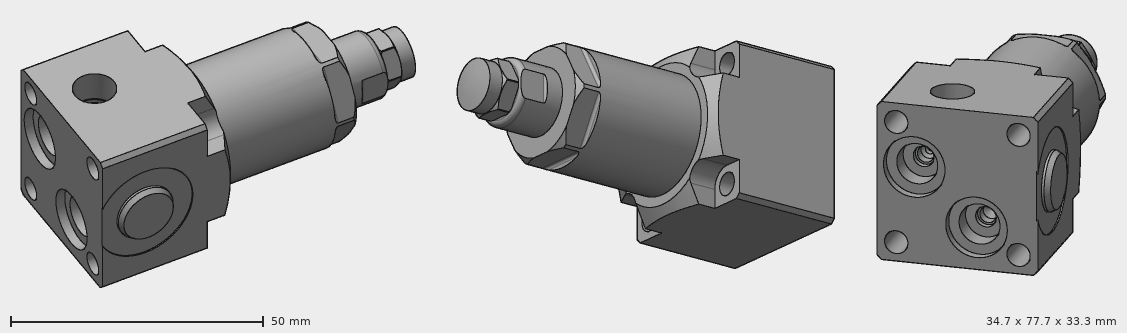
import cadquery as cq
import math


BLOCK_SIDE = 33.3
BLOCK_HALF = BLOCK_SIDE / 2
BLOCK_LENGTH = 30.05
BLOCK_EDGE_CHAMFER = 0.9
REAR_RIM_RADIUS = 14.7
REAR_BEVEL_ANGLE = 30

BOLT_OFFSET = 12.65
BOLT_HOLE_DIAMETER = 4.8
BOLT_SEAT_Y = 23.7
BOLT_HEAD_RADIUS = 4.0

PORT_A_CENTER = (-8.9, 3.6)
PORT_B_CENTER = (4.0, -7.8)
SEAL_DIAMETER = 12.7
SEAL_DEPTH = 2.0
PORT_DIAMETER = 8.5
PORT_DEPTH = 6.4
BORE_DIAMETER = 4.3
BORE_DEPTH = 7.8
DRILL_DIAMETER = 3.4
DRILL_DEPTH = 10.1
PILOT_DIAMETER = 1.9
PILOT_LENGTH = 1.55
DRILL_TIP_ANGLE = 118

SIDE_PORT_Y = 9.6
TOP_PORT_X = -4.0
TOP_PORT_DIAMETER = 8.8
TOP_PORT_DEPTH = 6.6
TOP_DRILL_DIAMETER = 8.15
TOP_DRILL_DEPTH = 7.4
PLUG_SEAT_RADIUS = 10.8
PLUG_SEAT_DEPTH = 0.3
PLUG_RADIUS = 6.2
PLUG_TIP_RADIUS = 5.6
PLUG_RIM_HEIGHT = 0.2
PLUG_HEIGHT = 1.4

HEX_SIDES = 6
HEX_STEP = 360 / HEX_SIDES

BARREL_RADIUS = 12.6
HEX_START_Y = 55.0
HEX_END_Y = 60.4
HEX_ACROSS_FLATS = 22.2
HEX_ROOT_FILLET = 0.6
HEX_FACE_RADIUS = 11.35
HEX_CHAMFER_LENGTH = 1.25

BOSS_RADIUS = 7.15
BOSS_END_Y = 70.4
BOSS_FILLET = 1.25
BOSS_FLATS_WIDTH = 12.9
BOSS_FLATS_START_Y = 64.15
BOSS_FLAT_ROOT_FILLET = 0.5

NUT_ACROSS_FLATS = 10.9
NUT_CORNER_RADIUS = 6.2
NUT_END_Y = 74.0
NUT_FACE_RADIUS = 5.35
NUT_TOP_CHAMFER_LENGTH = 0.55
NUT_BOTTOM_CHAMFER = 0.3
CAP_RADIUS = 5.35
CAP_EDGE_Y = 77.1
TOTAL_LENGTH = 77.7


def revolved(outline):
    """Revolve a closed (radius, y) outline around the Y axis."""
    return outline.close().revolve(360, (0, 0, 0), (0, 1, 0))


def solid_of_revolution(points):
    return revolved(cq.Workplane("XY").polyline(points))


def cylinder_y(radius, start_y, end_y):
    return solid_of_revolution([(0, start_y), (radius, start_y), (radius, end_y), (0, end_y)])


def drill_tip_length(diameter):
    return diameter / 2 / math.tan(math.radians(DRILL_TIP_ANGLE / 2))


def flat_cutter(apothem, start_y, end_y, root_fillet, angle):
    """Tool that mills one flat, facing +X before it is turned about Y; its root is rounded."""
    reach = 2 * apothem
    root_center = (apothem + root_fillet, start_y + root_fillet)
    arc_offset = root_fillet * math.sqrt(0.5)
    return (
        cq.Workplane("XY")
        .moveTo(reach, start_y)
        .lineTo(root_center[0], start_y)
        .threePointArc(
            (root_center[0] - arc_offset, root_center[1] - arc_offset),
            (apothem, root_center[1]),
        )
        .lineTo(apothem, end_y)
        .lineTo(reach, end_y)
        .close()
        .extrude(reach, both=True)
        .rotate((0, 0, 0), (0, 1, 0), angle)
    )


def make_block():
    block = (
        cq.Workplane("XY")
        .box(BLOCK_SIDE, BLOCK_LENGTH, BLOCK_SIDE)
        .translate((0, BLOCK_LENGTH / 2, 0))
        .edges("|Y")
        .chamfer(BLOCK_EDGE_CHAMFER)
    )
    outer_radius = BLOCK_SIDE
    bevel_length = (outer_radius - REAR_RIM_RADIUS) * math.tan(math.radians(REAR_BEVEL_ANGLE))
    envelope = solid_of_revolution([
        (0, 0),
        (outer_radius, 0),
        (outer_radius, BLOCK_LENGTH - bevel_length),
        (REAR_RIM_RADIUS, BLOCK_LENGTH),
        (0, BLOCK_LENGTH),
    ])
    return block.intersect(envelope)


def cut_bolts(body):
    relief_inner = BOLT_OFFSET - BOLT_HEAD_RADIUS
    relief_side = BLOCK_HALF - relief_inner
    relief_center = relief_inner + relief_side / 2
    relief_length = BLOCK_LENGTH - BOLT_SEAT_Y
    for side_x in (-1, 1):
        for side_z in (-1, 1):
            relief = (
                cq.Workplane("XY")
                .box(relief_side, relief_length, relief_side)
                .edges("|Y and " + ("<X" if side_x > 0 else ">X"))
                .edges("<Z" if side_z > 0 else ">Z")
                .fillet(BOLT_HEAD_RADIUS)
                .translate((side_x * relief_center, BOLT_SEAT_Y + relief_length / 2, side_z * relief_center))
            )
            hole = cylinder_y(BOLT_HOLE_DIAMETER / 2, 0, BLOCK_LENGTH)
            hole = hole.translate((side_x * BOLT_OFFSET, 0, side_z * BOLT_OFFSET))
            body = body.cut(relief).cut(hole)
    return body


def front_port(center, has_pilot):
    """Stepped port cutter; the pilot continues from the drill tip into a smaller bore."""
    outline = [
        (0, 0),
        (SEAL_DIAMETER / 2, 0),
        (SEAL_DIAMETER / 2, SEAL_DEPTH),
        (PORT_DIAMETER / 2, SEAL_DEPTH),
        (PORT_DIAMETER / 2, PORT_DEPTH),
        (BORE_DIAMETER / 2, PORT_DEPTH),
        (BORE_DIAMETER / 2, BORE_DEPTH),
        (DRILL_DIAMETER / 2, BORE_DEPTH),
        (DRILL_DIAMETER / 2, DRILL_DEPTH),
    ]
    tip_y = DRILL_DEPTH + drill_tip_length(DRILL_DIAMETER)
    if has_pilot:
        pilot_start_y = tip_y - drill_tip_length(PILOT_DIAMETER)
        outline.append((PILOT_DIAMETER / 2, pilot_start_y))
        outline.append((PILOT_DIAMETER / 2, pilot_start_y + PILOT_LENGTH))
        tip_y += PILOT_LENGTH
    outline.append((0, tip_y))
    return solid_of_revolution(outline).translate((center[0], 0, center[1]))


def top_port():
    """Blind port going down from the +Z face, with a slightly narrower drilled end."""
    port_radius = TOP_PORT_DIAMETER / 2
    drill_radius = TOP_DRILL_DIAMETER / 2
    tip_z = -TOP_DRILL_DEPTH - drill_tip_length(TOP_DRILL_DIAMETER)
    return (
        cq.Workplane("XZ")
        .polyline([
            (0, 0),
            (port_radius, 0),
            (port_radius, -TOP_PORT_DEPTH),
            (drill_radius, -TOP_PORT_DEPTH),
            (drill_radius, -TOP_DRILL_DEPTH),
            (0, tip_z),
        ])
        .close()
        .revolve(360, (0, 0, 0), (0, 1, 0))
        .translate((TOP_PORT_X, SIDE_PORT_Y, BLOCK_HALF))
    )


def add_plug(body):
    """Shallow spotface in the +X face, with a tapered plug head standing in it."""
    seat_x = BLOCK_HALF - PLUG_SEAT_DEPTH
    face = cq.Workplane("YZ", origin=(seat_x, SIDE_PORT_Y, 0))
    seat = face.circle(PLUG_SEAT_RADIUS).extrude(PLUG_SEAT_DEPTH)
    plug = (
        cq.Workplane("XY")
        .polyline([
            (seat_x, 0),
            (seat_x, PLUG_RADIUS),
            (BLOCK_HALF + PLUG_RIM_HEIGHT, PLUG_RADIUS),
            (BLOCK_HALF + PLUG_HEIGHT, PLUG_TIP_RADIUS),
            (BLOCK_HALF + PLUG_HEIGHT, 0),
        ])
        .close()
        .revolve(360, (0, 0, 0), (1, 0, 0))
        .translate((0, SIDE_PORT_Y, 0))
    )
    return body.cut(seat).union(plug)


def make_housing():
    """Barrel whose far end is a hexagon with a flat facing +Z."""
    housing = solid_of_revolution([
        (0, BLOCK_LENGTH),
        (BARREL_RADIUS, BLOCK_LENGTH),
        (BARREL_RADIUS, HEX_END_Y - HEX_CHAMFER_LENGTH),
        (HEX_FACE_RADIUS, HEX_END_Y),
        (0, HEX_END_Y),
    ])
    for index in range(HEX_SIDES):
        angle = (index + 0.5) * HEX_STEP
        housing = housing.cut(
            flat_cutter(HEX_ACROSS_FLATS / 2, HEX_START_Y, HEX_END_Y, HEX_ROOT_FILLET, angle)
        )
    return housing


def make_boss():
    boss = cylinder_y(BOSS_RADIUS, HEX_END_Y, BOSS_END_Y).edges(">Y").fillet(BOSS_FILLET)
    for angle in (0, 180):
        boss = boss.cut(
            flat_cutter(BOSS_FLATS_WIDTH / 2, BOSS_FLATS_START_Y, BOSS_END_Y, BOSS_FLAT_ROOT_FILLET, angle)
        )
    return boss


def make_nut():
    """Hexagonal lock nut with turned chamfers on both ends."""
    blank = solid_of_revolution([
        (0, BOSS_END_Y),
        (NUT_CORNER_RADIUS - NUT_BOTTOM_CHAMFER, BOSS_END_Y),
        (NUT_CORNER_RADIUS, BOSS_END_Y + NUT_BOTTOM_CHAMFER),
        (NUT_CORNER_RADIUS, NUT_END_Y - NUT_TOP_CHAMFER_LENGTH),
        (NUT_FACE_RADIUS, NUT_END_Y),
        (0, NUT_END_Y),
    ])
    hexagon = (
        cq.Workplane("XZ", origin=(0, BOSS_END_Y, 0))
        .polygon(HEX_SIDES, NUT_ACROSS_FLATS / math.cos(math.radians(HEX_STEP / 2)))
        .extrude(BOSS_END_Y - NUT_END_Y)
    )
    return blank.intersect(hexagon)


def make_cap():
    """Round cap with a shallow spherical end."""
    dome_height = TOTAL_LENGTH - CAP_EDGE_Y
    sphere_radius = (CAP_RADIUS**2 + dome_height**2) / (2 * dome_height)
    middle_radius = CAP_RADIUS / 2
    middle_y = TOTAL_LENGTH - sphere_radius + math.sqrt(sphere_radius**2 - middle_radius**2)
    outline = (
        cq.Workplane("XY")
        .moveTo(0, NUT_END_Y)
        .lineTo(CAP_RADIUS, NUT_END_Y)
        .lineTo(CAP_RADIUS, CAP_EDGE_Y)
        .threePointArc((middle_radius, middle_y), (0, TOTAL_LENGTH))
    )
    return revolved(outline)


block = cut_bolts(make_block())
block = block.cut(front_port(PORT_A_CENTER, has_pilot=True))
block = block.cut(front_port(PORT_B_CENTER, has_pilot=False))
block = block.cut(top_port())
block = add_plug(block)

result = block.union(make_housing()).union(make_boss()).union(make_nut()).union(make_cap())